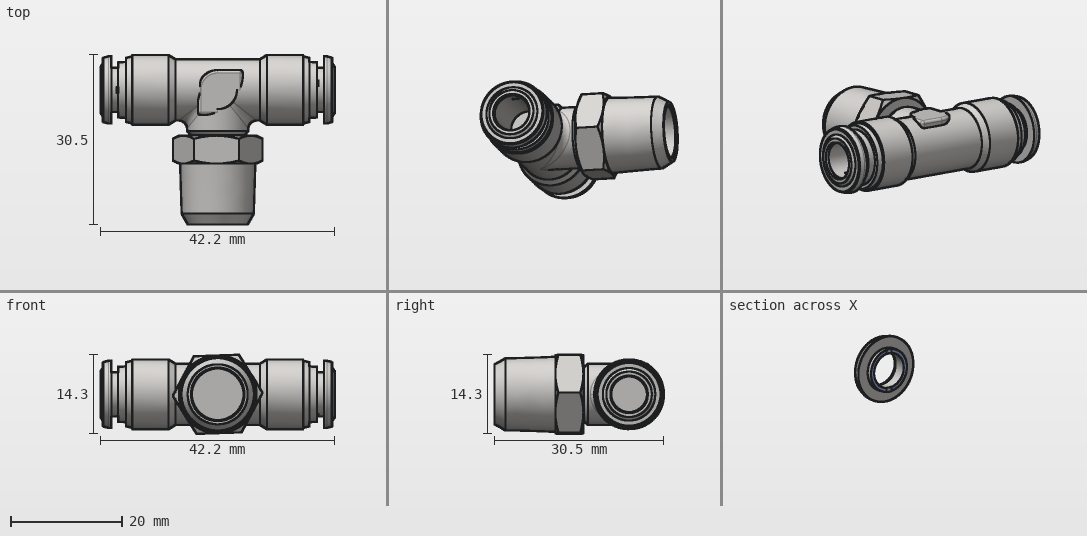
import cadquery as cq
import math

RUN_LENGTH = 42.2
HALF_RUN = RUN_LENGTH / 2
BODY_RADIUS = 5.53

SOCKET_RADIUS = 6.3
SOCKET_CONE_START = 7.6
SOCKET_CONE_END = 8.85
SOCKET_END = 15.3
CAP_START = 15.45
CAP_INNER_RADIUS = 6.05
CAP_OUTER_RADIUS = 5.8
CAP_END = 16.5
RING_INNER_RADIUS = 5.05
RING_RADIUS = 5.0
RING_END = 17.9
NECK_RADIUS = 4.0
FLANGE_START = 19.1
FLANGE_RADIUS = 6.08
FLANGE_TAPER_START = 19.62
FLANGE_RIM_RADIUS = 5.82
FLANGE_END = 20.68
FLANGE_CHAMFER = 0.15
LIP_BASE_RADIUS = 4.73
LIP_RADIUS = 4.1
TUBE_BORE_RADIUS = 3.2
TUBE_BORE_DEPTH = 12.65
SLIT_WIDTH = 1.0
SLIT_LENGTH = 0.25
LEFT_SLIT_TURN = 0.0
RIGHT_SLIT_TURN = -18.0

BRANCH_END = 24.22
BRANCH_CONE_START = 7.4
BRANCH_CONE_END = 8.1
BRANCH_NECK_RADIUS = 4.9
NUT_START = 8.25
NUT_END = 13.25
NUT_ACROSS_FLATS = 14.0
NUT_TURN = 2.0
NUT_CHAMFER = 0.55
THREAD_RADIUS = 6.8
THREAD_TIP_START = 22.25
THREAD_TAPER = 1 / 16
THREAD_END_RADIUS = 5.4
BRANCH_BORE_RADIUS = 4.65
BRANCH_BORE_DEPTH = 5.75
BORE_CHAMFER = 0.15
TUBE_MOUTH_LENGTH = 0.5
BRANCH_MOUTH_LENGTH = 0.3

PAD_NEAR = 3.6
PAD_FAR = 4.5
PAD_CROTCH_RADIUS = 3.45
PAD_ROUNDING = 0.55
PAD_DEPTH = 2.1
CROTCH_FILLET = 1.45


def point_at(radius, degrees):
    """Point on a circle about the origin."""
    angle = math.radians(degrees)
    return radius * math.cos(angle), radius * math.sin(angle)


def crossing():
    """Middle of the run joined to the root of the branch, with filleted crotches."""
    run = cq.Workplane("YZ").circle(BODY_RADIUS).extrude(SOCKET_CONE_END, both=True)
    branch = cq.Workplane("XZ").circle(BODY_RADIUS).extrude(BRANCH_CONE_START)
    return run.union(branch).edges("%ELLIPSE").fillet(CROTCH_FILLET)


def pad():
    """Top pad with one large round corner and a concentric arc towards the right crotch."""
    block = (
        cq.Workplane("XY", origin=(0, 0, BODY_RADIUS))
        .moveTo(0, PAD_NEAR)
        .lineTo(PAD_FAR, PAD_NEAR)
        .lineTo(PAD_FAR, 0)
        .lineTo(PAD_CROTCH_RADIUS, 0)
        .threePointArc(point_at(PAD_CROTCH_RADIUS, -45), (0, -PAD_CROTCH_RADIUS))
        .lineTo(0, -PAD_FAR)
        .lineTo(-PAD_NEAR, -PAD_FAR)
        .lineTo(-PAD_NEAR, 0)
        .threePointArc(point_at(PAD_NEAR, 135), (0, PAD_NEAR))
        .close()
        .extrude(-PAD_DEPTH)
    )
    free_corners = [(PAD_FAR, PAD_NEAR, 0), (-PAD_NEAR, -PAD_FAR, 0)]
    for corner in free_corners:
        nearest = cq.selectors.NearestToPointSelector(corner)
        block = block.edges("|Z").edges(nearest).fillet(PAD_ROUNDING)
    return block.faces(">Z").edges(">X or <Y").fillet(PAD_ROUNDING)


def tube_socket():
    """Socket and release collet at the +X end of the run."""
    outline = [
        (SOCKET_CONE_START, 0),
        (SOCKET_CONE_START, BODY_RADIUS),
        (SOCKET_CONE_END, SOCKET_RADIUS),
        (SOCKET_END, SOCKET_RADIUS),
        (CAP_START, CAP_INNER_RADIUS),
        (CAP_END, CAP_OUTER_RADIUS),
        (CAP_END, RING_INNER_RADIUS),
        (RING_END, RING_RADIUS),
        (RING_END, NECK_RADIUS),
        (FLANGE_START, NECK_RADIUS),
        (FLANGE_START, FLANGE_RADIUS),
        (FLANGE_TAPER_START, FLANGE_RADIUS),
        (FLANGE_END - FLANGE_CHAMFER, FLANGE_RIM_RADIUS),
        (FLANGE_END, FLANGE_RIM_RADIUS - FLANGE_CHAMFER),
        (FLANGE_END, LIP_BASE_RADIUS),
        (HALF_RUN, LIP_RADIUS),
        (HALF_RUN, 0),
    ]
    return cq.Workplane("XY").polyline(outline).close().revolve(360, (0, 0, 0), (1, 0, 0))


def tube_bore():
    """Blind bore of the +X socket with a chamfered mouth."""
    outline = [
        (HALF_RUN - TUBE_BORE_DEPTH, 0),
        (HALF_RUN - TUBE_BORE_DEPTH, TUBE_BORE_RADIUS),
        (HALF_RUN - TUBE_MOUTH_LENGTH, TUBE_BORE_RADIUS),
        (HALF_RUN, TUBE_BORE_RADIUS + BORE_CHAMFER),
        (HALF_RUN, 0),
    ]
    return cq.Workplane("XY").polyline(outline).close().revolve(360, (0, 0, 0), (1, 0, 0))


def collet_slit(turn):
    """Slit across the collet neck just outside the ring, turned about the run axis."""
    slit = cq.Workplane("XY").box(SLIT_LENGTH, SLIT_WIDTH, 2 * RING_RADIUS)
    return slit.translate((RING_END + SLIT_LENGTH / 2, 0, 0)).rotate((0, 0, 0), (1, 0, 0), turn)


def threaded_branch():
    """Branch shoulder, neck and tapered thread body."""
    thread_tip_radius = THREAD_RADIUS - (THREAD_TIP_START - NUT_END) * THREAD_TAPER / 2
    outline = [
        (0, -BRANCH_CONE_START),
        (BODY_RADIUS, -BRANCH_CONE_START),
        (BRANCH_NECK_RADIUS, -BRANCH_CONE_END),
        (BRANCH_NECK_RADIUS, -NUT_END),
        (THREAD_RADIUS, -NUT_END),
        (thread_tip_radius, -THREAD_TIP_START),
        (THREAD_END_RADIUS, -BRANCH_END),
        (0, -BRANCH_END),
    ]
    return cq.Workplane("XY").polyline(outline).close().revolve(360, (0, 0, 0), (0, 1, 0))


def hex_nut():
    """Hexagon with both ends turned down to the width across flats."""
    flat_radius = NUT_ACROSS_FLATS / 2
    corner_radius = flat_radius / math.cos(math.pi / 6)
    hexagon = (
        cq.Workplane("XZ", origin=(0, -NUT_START, 0))
        .polygon(6, 2 * corner_radius)
        .extrude(NUT_END - NUT_START)
        .rotate((0, 0, 0), (0, 1, 0), -NUT_TURN)
    )
    outline = [
        (0, -NUT_START),
        (flat_radius, -NUT_START),
        (corner_radius, -NUT_START - NUT_CHAMFER),
        (corner_radius, -NUT_END + NUT_CHAMFER),
        (flat_radius, -NUT_END),
        (0, -NUT_END),
    ]
    turned = cq.Workplane("XY").polyline(outline).close().revolve(360, (0, 0, 0), (0, 1, 0))
    return hexagon.intersect(turned)


def branch_bore():
    """Blind bore of the branch with a chamfered mouth."""
    outline = [
        (0, -BRANCH_END),
        (BRANCH_BORE_RADIUS + BORE_CHAMFER, -BRANCH_END),
        (BRANCH_BORE_RADIUS, -BRANCH_END + BRANCH_MOUTH_LENGTH),
        (BRANCH_BORE_RADIUS, -BRANCH_END + BRANCH_BORE_DEPTH),
        (0, -BRANCH_END + BRANCH_BORE_DEPTH),
    ]
    return cq.Workplane("XY").polyline(outline).close().revolve(360, (0, 0, 0), (0, 1, 0))


result = crossing().union(pad()).union(threaded_branch()).union(hex_nut()).cut(branch_bore())
for on_left, slit_turn in ((False, RIGHT_SLIT_TURN), (True, LEFT_SLIT_TURN)):
    socket = tube_socket()
    hollow = tube_bore().union(collet_slit(slit_turn))
    if on_left:
        socket = socket.mirror("YZ")
        hollow = hollow.mirror("YZ")
    result = result.union(socket).cut(hollow)